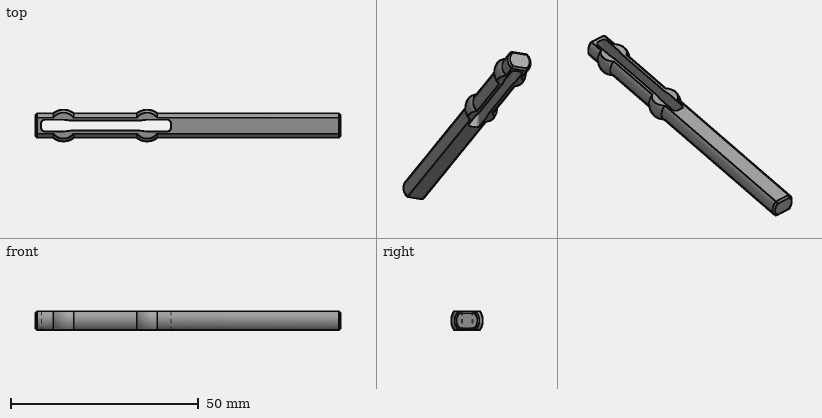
import cadquery as cq

length = 81.25
rod_diameter = 6.6
thickness = 5.0
end_chamfer = 0.53

bulge_diameter = 8.5
first_bulge_x = 7.5
bulge_spacing = 22.3
bulge_centres = [first_bulge_x, first_bulge_x + bulge_spacing]

slot_start = 1.55
slot_end = 36.1
slot_width = 3.1
waist_width = 2.6
corner_radius = 1.0
taper_length = 2.0


def make_flats_slab():
    """Block that limits the part to its thickness, wide enough for the bulges."""
    return cq.Workplane("XY").box(length, bulge_diameter, thickness).translate((length / 2, 0, 0))


def make_rod():
    """Round bar with flats, chamfered around both end faces."""
    bar = cq.Workplane("YZ").circle(rod_diameter / 2).extrude(length)
    return bar.intersect(make_flats_slab()).faces("<X or >X").chamfer(end_chamfer)


def make_bulge(centre_x):
    """Ball cut off level with the flats of the rod."""
    ball = cq.Workplane("XY").sphere(bulge_diameter / 2).translate((centre_x, 0, 0))
    return ball.intersect(make_flats_slab())


def make_slot():
    """Waisted slot with rounded corners at both ends."""
    wide = slot_width / 2
    narrow = waist_width / 2
    first_bulge, second_bulge = bulge_centres
    waist_start = first_bulge + taper_length
    waist_end = second_bulge - taper_length
    slot = (
        cq.Workplane("XY")
        .workplane(offset=-thickness / 2)
        .moveTo(slot_start, -wide)
        .lineTo(first_bulge, -wide)
        .lineTo(waist_start, -narrow)
        .lineTo(waist_end, -narrow)
        .lineTo(second_bulge, -wide)
        .lineTo(slot_end, -wide)
        .lineTo(slot_end, wide)
        .lineTo(second_bulge, wide)
        .lineTo(waist_end, narrow)
        .lineTo(waist_start, narrow)
        .lineTo(first_bulge, wide)
        .lineTo(slot_start, wide)
        .close()
        .extrude(thickness)
    )
    return slot.faces("<X or >X").edges("|Z").fillet(corner_radius)


result = make_rod()
for bulge_x in bulge_centres:
    result = result.union(make_bulge(bulge_x))
result = result.cut(make_slot())